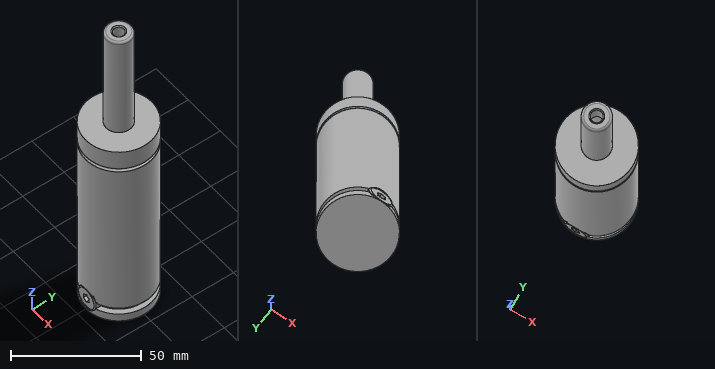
import cadquery as cq
import math

total_height = 150.0
body_diameter = 32.0
body_radius = body_diameter / 2
body_height = 98.0

base_groove_diameter = 27.0
base_groove_bottom = 4.0
base_groove_top = 7.5

head_groove_radius = 0.9
head_groove_z = 87.5
head_groove_wall = 0.2

rod_diameter = 12.0
rod_end_fillet = 1.0
bore_diameter = 5.0
bore_mouth_diameter = 6.0
bore_depth = 12.0
drill_point_angle = 118.0

plug_diameter = 11.0
plug_chamfer = 0.6
plug_z = 6.0
plug_face_recess = 0.22
plug_face_y = -(body_radius - plug_face_recess)
socket_across_flats = 3.5
socket_depth = 3.0


def make_body():
    body = cq.Workplane("XY").circle(body_radius).extrude(body_height)
    base_groove = (
        cq.Workplane("XY", origin=(0, 0, base_groove_bottom))
        .circle(body_radius)
        .circle(base_groove_diameter / 2)
        .extrude(base_groove_top - base_groove_bottom)
    )
    return body.cut(base_groove).cut(make_head_groove())


def make_head_groove():
    """Ring with short flat walls and a half-round bottom, revolved about Z."""
    arc_start_radius = body_radius - head_groove_wall
    groove_bottom = head_groove_z - head_groove_radius
    groove_top = head_groove_z + head_groove_radius
    return (
        cq.Workplane("XZ")
        .moveTo(body_radius, groove_bottom)
        .lineTo(arc_start_radius, groove_bottom)
        .threePointArc(
            (arc_start_radius - head_groove_radius, head_groove_z),
            (arc_start_radius, groove_top),
        )
        .lineTo(body_radius, groove_top)
        .close()
        .revolve(360, (0, 0, 0), (0, 1, 0))
    )


def make_rod():
    return (
        cq.Workplane("XY")
        .circle(rod_diameter / 2)
        .extrude(total_height)
        .faces(">Z")
        .edges()
        .fillet(rod_end_fillet)
    )


def make_rod_bore():
    """Chamfered blind hole with a conical drill point, revolved about Z."""
    bore_radius = bore_diameter / 2
    mouth_radius = bore_mouth_diameter / 2
    mouth_chamfer = mouth_radius - bore_radius
    bore_bottom = total_height - bore_depth
    point_height = bore_radius / math.tan(math.radians(drill_point_angle / 2))
    return (
        cq.Workplane("XZ")
        .moveTo(0, total_height)
        .lineTo(mouth_radius, total_height)
        .lineTo(bore_radius, total_height - mouth_chamfer)
        .lineTo(bore_radius, bore_bottom)
        .lineTo(0, bore_bottom - point_height)
        .close()
        .revolve(360, (0, 0, 0), (0, 1, 0))
    )


def plug_plane(y):
    """Sketch plane centred on the plug axis, facing -Y."""
    return cq.Workplane("XZ", origin=(0, y, plug_z))


def make_plug_pocket():
    pocket_depth = plug_face_recess + plug_chamfer
    return plug_plane(-body_radius).circle(plug_diameter / 2).extrude(-pocket_depth)


def make_plug():
    return (
        plug_plane(0)
        .circle(plug_diameter / 2)
        .extrude(-plug_face_y)
        .faces("<Y")
        .chamfer(plug_chamfer)
    )


def make_plug_socket():
    """Hexagon socket with two corners on the vertical centre line."""
    across_corners = socket_across_flats / math.cos(math.radians(30))
    return (
        plug_plane(plug_face_y)
        .transformed(rotate=(0, 0, 90))
        .polygon(6, across_corners)
        .extrude(-socket_depth)
    )


result = (
    make_body()
    .cut(make_plug_pocket())
    .union(make_plug())
    .cut(make_plug_socket())
    .union(make_rod())
    .cut(make_rod_bore())
)